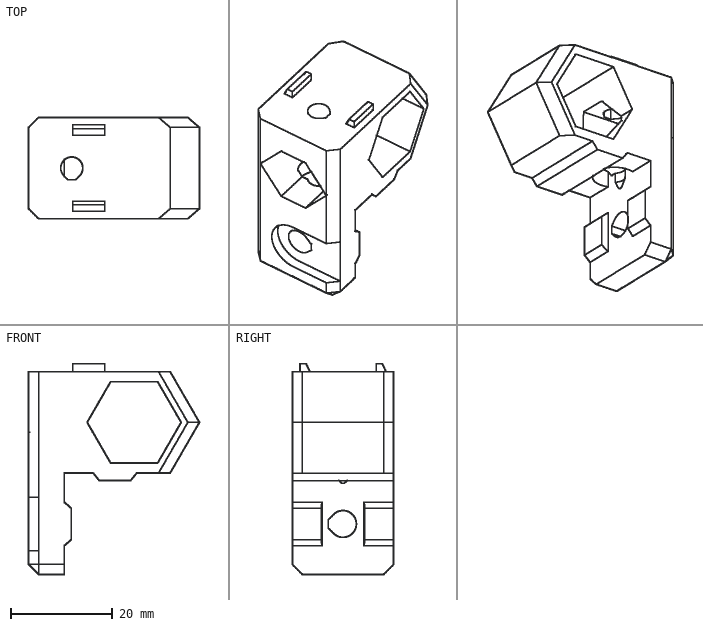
import cadquery as cq
import math

total_length = 33.75
total_height = 41.6
width = 20.0
tab_height = 1.6
body_height = total_height - tab_height
leg_thickness = 7.07
arm_height = width
arm_bottom = body_height - arm_height
arm_mid_height = body_height - arm_height / 2
nose_length = arm_height / 2 * math.tan(math.radians(30))
arm_straight_length = total_length - nose_length
chamfer = 2.0

bore_flats = 16.0
bore_center_x = 20.85

pocket_width = 16.0
pocket_height = 12.02
pocket_flat = 5.9
pocket_mid_height = arm_mid_height - bore_flats / 2 + pocket_height / 2

bolt_height = 10.0
recess_radius = 5.25
recess_depth = chamfer
leg_hole_radius = 2.6
leg_hole_crown = 2.85

arm_hole_x = 8.53
arm_hole_radius = 2.15
arm_hole_crown = 2.3
arm_hole_point_height = 6.25

clearance_radius = 4.33

rib_base = 8.6
rib_top = 6.2
leg_rib_height = 1.37
arm_rib_height = 1.5
arm_rib_x = 17.05

tab_start_x = 8.7
tab_length = 6.35
tab_base = 2.0
tab_crest = 1.25
tab_spacing = 15.0


def make_body():
    """L-shaped block with a pointed arm, chamfered on its left, bottom and nose edges."""
    outline = [
        (0, 0),
        (leg_thickness, 0),
        (leg_thickness, arm_bottom),
        (arm_straight_length, arm_bottom),
        (total_length, arm_mid_height),
        (arm_straight_length, body_height),
        (0, body_height),
    ]
    block = cq.Workplane("XZ").polyline(outline).close().extrude(width / 2, both=True)
    nose_edges = cq.selectors.BoxSelector(
        (arm_straight_length, -width, arm_bottom),
        (total_length, width, body_height),
    )
    side_nose_edges = block.faces("|Y").edges(nose_edges)
    block = side_nose_edges.chamfer(chamfer)
    return block.intersect(make_leg_envelope())


def make_leg_envelope():
    """Box longer than the block, chamfered on its upright left edges and bottom edges."""
    envelope = cq.Workplane("XY").box(
        2 * total_length, width, body_height, centered=(False, True, False)
    )
    return envelope.edges("(<X and |Z) or (<Z and (not >X))").chamfer(chamfer)


def teardrop(workplane, radius, crown):
    """Round hole outline whose crown, towards -Y, is 45 degree flanks and a flat."""
    tangent = radius * math.sin(math.radians(45))
    flat_half = radius * math.sqrt(2) - crown
    return (
        workplane.moveTo(-tangent, -tangent)
        .threePointArc((0, radius), (tangent, -tangent))
        .lineTo(flat_half, -crown)
        .lineTo(-flat_half, -crown)
        .close()
    )


def make_rib(height):
    """Trapezoidal rib across the full width, rising along Z from the origin by a signed height."""
    outline = [
        (-rib_base / 2, 0),
        (rib_base / 2, 0),
        (rib_top / 2, height),
        (-rib_top / 2, height),
    ]
    return cq.Workplane("XZ").polyline(outline).close().extrude(width / 2, both=True)


def make_tab():
    """Tab along X with its sloping face towards +Y, starting from the top face."""
    outline = [
        (-tab_base / 2, 0),
        (tab_base / 2, 0),
        (tab_crest - tab_base / 2, tab_height),
        (-tab_base / 2, tab_height),
    ]
    tab = cq.Workplane("YZ").polyline(outline).close().extrude(tab_length)
    return tab.translate((tab_start_x, 0, body_height))


def make_bore():
    """Hexagonal bore with its points along X."""
    bore_points = bore_flats / math.cos(math.radians(30))
    bore = cq.Workplane("XZ").polygon(6, bore_points).extrude(width / 2, both=True)
    return bore.translate((bore_center_x, 0, arm_mid_height))


def make_pocket():
    """Stretched hexagonal pocket that ends inside the bore."""
    outline = [
        (-pocket_width / 2, 0),
        (-pocket_flat / 2, -pocket_height / 2),
        (pocket_flat / 2, -pocket_height / 2),
        (pocket_width / 2, 0),
        (pocket_flat / 2, pocket_height / 2),
        (-pocket_flat / 2, pocket_height / 2),
    ]
    pocket = cq.Workplane("YZ").polyline(outline).close().extrude(bore_center_x)
    return pocket.translate((0, 0, pocket_mid_height))


def make_recess():
    """Recess round the bolt, open to the -Y side."""
    outline = (
        cq.Workplane("YZ", origin=(0, 0, bolt_height))
        .moveTo(-width / 2, -recess_radius)
        .lineTo(0, -recess_radius)
        .threePointArc((recess_radius, 0), (0, recess_radius))
        .lineTo(-width / 2, recess_radius)
        .close()
    )
    return outline.extrude(recess_depth)


def make_leg_hole():
    """Bolt hole through the leg and its rib."""
    plane = cq.Plane(origin=(0, 0, bolt_height), xDir=(0, 0, -1), normal=(1, 0, 0))
    outline = teardrop(cq.Workplane(plane), leg_hole_radius, leg_hole_crown)
    return outline.extrude(leg_thickness + leg_rib_height)


def make_arm_hole():
    """Upright hole through the arm, ending in a conical point that nicks the leg."""
    workplane = cq.Workplane("XY", origin=(arm_hole_x, 0, arm_bottom))
    hole = teardrop(workplane, arm_hole_radius, arm_hole_crown).extrude(arm_height)
    point = cq.Solid.makeCone(
        arm_hole_radius,
        0,
        arm_hole_point_height,
        pnt=cq.Vector(arm_hole_x, 0, arm_bottom),
        dir=cq.Vector(0, 0, -1),
    )
    return hole.union(cq.Workplane(point))


def make_clearance():
    """Cylinder from the bottom up into the pocket, kept clear of the leg, that splits its rib."""
    cylinder = cq.Workplane("XY").circle(clearance_radius).extrude(pocket_mid_height)
    cylinder = cylinder.translate((arm_hole_x, 0, 0))
    leg_block = cq.Workplane("XY").box(
        leg_thickness, width, body_height, centered=(False, True, False)
    )
    return cylinder.cut(leg_block)


arm_rib = make_rib(-arm_rib_height).translate((arm_rib_x, 0, arm_bottom))
leg_rib = make_rib(leg_rib_height).rotate((0, 0, 0), (0, 1, 0), 90)
leg_rib = leg_rib.translate((leg_thickness, 0, bolt_height))

result = make_body().union(arm_rib).union(leg_rib)
for side in (-1, 1):
    tab_y = side * tab_spacing / 2
    result = result.union(make_tab().translate((0, tab_y, 0)))

cutters = [
    make_bore(),
    make_pocket(),
    make_recess(),
    make_leg_hole(),
    make_arm_hole(),
    make_clearance(),
]
for cutter in cutters:
    result = result.cut(cutter)